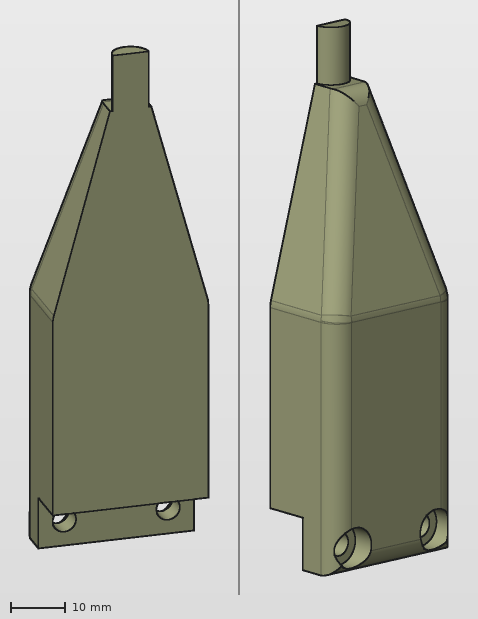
import cadquery as cq

depth = 18.0
width = 30.0
total_height = 100.0

shoulder_height = 49.0
housing_height = 89.0
tip_depth = 8.0
tip_width = 8.0
shoulder_blend = 5.0
edge_radius = 4.0

tongue_thickness = 9.0
step_height = 10.0

cable_radius = 3.5
screw_spacing = 20.0
screw_height = 5.0
screw_diameter = 4.5
counterbore_diameter = 8.0
counterbore_depth = 4.5


def is_border_edge(edge):
    """True along the front border, false for shoulder seams and edges that reach the back."""
    reaches_back = edge.BoundingBox().xmax > depth - tip_depth + edge_radius / 2
    spans_width = edge.BoundingBox().ylen > tip_width * 2
    at_bottom = edge.Center().z < step_height
    return not reaches_back and (at_bottom or not spans_width)


def make_housing():
    """Intersect the side and front outlines, then round the outer edges."""
    side = (
        cq.Workplane("XZ")
        .moveTo(0, 0)
        .lineTo(0, shoulder_height)
        .lineTo(depth - tip_depth, housing_height)
        .lineTo(depth, housing_height)
        .lineTo(depth, 0)
        .close()
        .extrude(width / 2, both=True)
        .edges(cq.selectors.NearestToPointSelector((0, 0, shoulder_height)))
        .fillet(shoulder_blend)
    )
    front = (
        cq.Workplane("YZ")
        .moveTo(-width / 2, 0)
        .lineTo(-width / 2, shoulder_height)
        .lineTo(-tip_width / 2, housing_height)
        .lineTo(tip_width / 2, housing_height)
        .lineTo(width / 2, shoulder_height)
        .lineTo(width / 2, 0)
        .close()
        .extrude(depth)
    )
    for side_sign in (-1, 1):
        shoulder = (depth / 2, side_sign * width / 2, shoulder_height)
        front = front.edges(cq.selectors.NearestToPointSelector(shoulder)).fillet(shoulder_blend)

    housing = side.intersect(front)
    border = housing.edges().filter(is_border_edge)
    return border.fillet(edge_radius)


def make_step():
    """Block removed behind the mounting tongue."""
    return cq.Workplane("XY").box(
        depth - tongue_thickness, width, step_height, centered=(False, True, False)
    ).translate((tongue_thickness, 0, 0))


def make_cable():
    """Half-round cable whose flat side lies on the back plane."""
    return (
        cq.Workplane("XY", origin=(depth, 0, housing_height))
        .moveTo(0, -cable_radius)
        .threePointArc((-cable_radius, 0), (0, cable_radius))
        .close()
        .extrude(total_height - housing_height)
    )


def make_screw_hole(y):
    """Through hole with a counterbore sunk from the front face."""
    start = cq.Workplane("YZ", origin=(0, y, screw_height))
    bore = start.circle(screw_diameter / 2).extrude(tongue_thickness)
    counterbore = start.circle(counterbore_diameter / 2).extrude(counterbore_depth)
    return bore.union(counterbore)


result = make_housing().cut(make_step()).union(make_cable())
for hole_y in (-screw_spacing / 2, screw_spacing / 2):
    result = result.cut(make_screw_hole(hole_y))